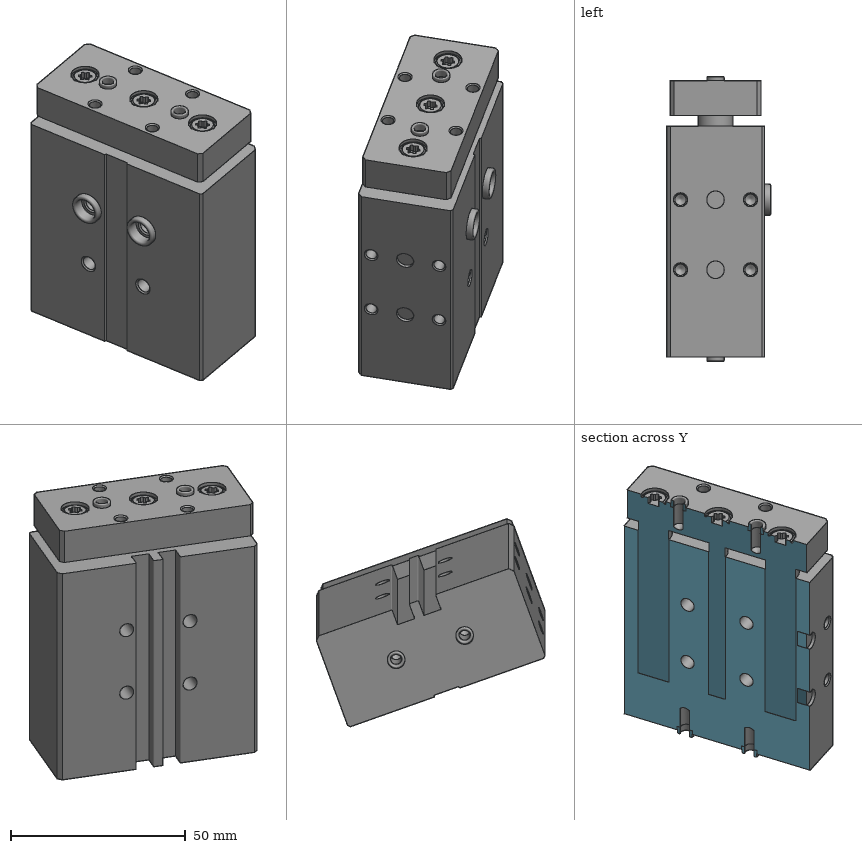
import cadquery as cq
import math

housing_width = 60.0
housing_depth = 28.0
housing_height = 66.0
rear_corner_chamfer = 1.2
front_corner_chamfer = 0.65
front_y = -housing_depth / 2
rear_y = housing_depth / 2
left_x = -housing_width / 2

relief_width = 7.8
relief_floor_width = 7.2
relief_depth = 0.5

slot_width = 5.2
slot_depth = 4.6
slot_offset = 4.0
slot_edge_radius = 0.3

lower_row = 25.0
upper_row = 45.0
row_heights = (lower_row, upper_row)
mounting_hole_x = 9.5
mounting_hole_diameter = 4.13
mounting_hole_mouth = 5.0

tapped_diameter = 3.24
tapped_mouth = 4.0
side_hole_y = 10.0
side_hole_depth = 8.0
drill_point_angle = 118.0

port_diameter = 5.0
plug_recess = 1.0
plug_length = 3.0

plate_width = 58.0
plate_depth = 26.0
plate_thickness = 10.0
plate_corner_chamfer = 1.1
plate_gap = 3.0
plate_bottom_z = housing_height + plate_gap
plate_top_z = plate_bottom_z + plate_thickness
guide_rod_x = 20.5
guide_rod_diameter = 10.0
piston_rod_diameter = 5.5
rod_engagement = 50.0
rods = (
    (-guide_rod_x, guide_rod_diameter),
    (0.0, piston_rod_diameter),
    (guide_rod_x, guide_rod_diameter),
)
plate_hole_x = 10.0
plate_hole_y = 10.0

counterbore_diameter = 8.0
counterbore_depth = 1.0
head_diameter = 7.0
head_height = 0.5
head_chamfer = 0.4
star_core_diameter = 2.9
star_lobe_diameter = 0.9
star_lobe_offset = 1.5
star_depth = 2.0
star_lobes = 6

small_sleeve_diameter = 5.0
small_sleeve_bore = 3.24
small_sleeve_length = 2.4
small_sleeve_protrusion = 1.2
small_seat = small_sleeve_length - small_sleeve_protrusion
top_sleeve_x = 12.5
bottom_sleeve_x = 10.4
sleeve_hole_depth = 8.0
large_sleeve_diameter = 9.0
large_sleeve_bore = 6.6
large_sleeve_length = 3.2
large_sleeve_protrusion = 1.85
large_seat = large_sleeve_length - large_sleeve_protrusion


def cylinder(origin, direction, diameter, length):
    start = cq.Vector(*origin)
    axis = cq.Vector(*direction)
    return cq.Workplane(cq.Solid.makeCylinder(diameter / 2, length, start, axis))


def cone(origin, direction, start_diameter, end_diameter, length):
    start = cq.Vector(*origin)
    axis = cq.Vector(*direction)
    return cq.Workplane(cq.Solid.makeCone(start_diameter / 2, end_diameter / 2, length, start, axis))


def countersink(origin, direction, mouth_diameter, hole_diameter):
    """45 degree chamfer cutter at the mouth of a hole."""
    depth = (mouth_diameter - hole_diameter) / 2
    return cone(origin, direction, mouth_diameter, hole_diameter, depth)


def blind_hole(origin, direction, diameter, depth):
    """Blind drilled hole ending in a conical drill point."""
    end = cq.Vector(*origin) + cq.Vector(*direction) * depth
    point_length = diameter / 2 / math.tan(math.radians(drill_point_angle / 2))
    return cylinder(origin, direction, diameter, depth).union(
        cone(end.toTuple(), direction, diameter, 0, point_length)
    )


def make_sleeve(diameter, bore, length):
    """Sleeve standing on Z = 0 with a fully rounded rim at the top."""
    outer_radius = diameter / 2
    bore_radius = bore / 2
    rim_radius = (outer_radius - bore_radius) / 2
    shoulder = length - rim_radius
    profile = (
        cq.Workplane("XZ")
        .moveTo(bore_radius, 0)
        .lineTo(outer_radius, 0)
        .lineTo(outer_radius, shoulder)
        .threePointArc((outer_radius - rim_radius, length), (bore_radius, shoulder))
        .close()
    )
    return profile.revolve(360, (0, 0), (0, 1))


def make_housing_profile():
    """Housing block with its corner chamfers, front relief and rear sensor slots."""
    body = cq.Workplane("XY").box(housing_width, housing_depth, housing_height, centered=(True, True, False))
    body = body.edges("|Z and >Y").chamfer(rear_corner_chamfer)
    body = body.edges("|Z and <Y").chamfer(front_corner_chamfer)

    relief_outline = [
        (-relief_width / 2, front_y),
        (relief_width / 2, front_y),
        (relief_floor_width / 2, front_y + relief_depth),
        (-relief_floor_width / 2, front_y + relief_depth),
    ]
    body = body.cut(cq.Workplane("XY").polyline(relief_outline).close().extrude(housing_height))

    slot = cq.Workplane("XY").box(slot_width, 2 * slot_depth, housing_height, centered=(True, True, False))
    for side in (-1, 1):
        body = body.cut(slot.translate((side * slot_offset, rear_y, 0)))
    for side in (-1, 1):
        for wall in (-1, 1):
            edge_x = side * slot_offset + wall * slot_width / 2
            slot_edge = cq.selectors.NearestToPointSelector((edge_x, rear_y, housing_height / 2))
            body = body.edges(slot_edge).fillet(slot_edge_radius)
    return body


def cut_mounting_holes(body):
    """Through holes along Y; the upper row is recessed for the large sleeves."""
    for side in (-1, 1):
        x = side * mounting_hole_x
        body = body.cut(cylinder((x, front_y, upper_row), (0, 1, 0), large_sleeve_diameter, large_seat))
        for z, mouth_y in ((lower_row, front_y), (upper_row, front_y + large_seat)):
            mouth = (x, mouth_y, z)
            body = body.cut(cylinder(mouth, (0, 1, 0), mounting_hole_diameter, housing_depth))
            body = body.cut(countersink(mouth, (0, 1, 0), mounting_hole_mouth, mounting_hole_diameter))
    return body


def cut_side_holes(body):
    """Tapped holes and plugged ports in the left side face."""
    for z in row_heights:
        for y in (-side_hole_y, side_hole_y):
            mouth = (left_x, y, z)
            body = body.cut(blind_hole(mouth, (1, 0, 0), tapped_diameter, side_hole_depth))
            body = body.cut(countersink(mouth, (1, 0, 0), tapped_mouth, tapped_diameter))
        body = body.cut(cylinder((left_x, 0, z), (1, 0, 0), port_diameter, plug_recess + plug_length))
    return body


def cut_small_sleeve_hole(body, mouth, direction):
    """Sleeve seat with a narrower blind hole behind it."""
    body = body.cut(cylinder(mouth, direction, small_sleeve_diameter, small_seat))
    return body.cut(blind_hole(mouth, direction, tapped_diameter, sleeve_hole_depth))


def make_housing():
    body = make_housing_profile()
    body = cut_mounting_holes(body)
    body = cut_side_holes(body)
    for x in (-bottom_sleeve_x, bottom_sleeve_x):
        body = cut_small_sleeve_hole(body, (x, 0, 0), (0, 0, 1))
    for x, diameter in rods:
        body = body.cut(cylinder((x, 0, housing_height), (0, 0, -1), diameter, rod_engagement))
    return body


def make_star_socket():
    """Six-lobed drive recess, opening upwards at Z = 0."""
    core = cq.Workplane("XY").circle(star_core_diameter / 2).extrude(-star_depth)
    lobes = cq.Workplane("XY").polarArray(star_lobe_offset, 90, 360, star_lobes)
    return core.union(lobes.circle(star_lobe_diameter / 2).extrude(-star_depth))


def make_moving_unit():
    unit = cq.Workplane("XY").box(plate_width, plate_depth, plate_thickness, centered=(True, True, False))
    unit = unit.edges("|Z").chamfer(plate_corner_chamfer).translate((0, 0, plate_bottom_z))

    for x in (-plate_hole_x, plate_hole_x):
        for y in (-plate_hole_y, plate_hole_y):
            mouth = (x, y, plate_top_z)
            unit = unit.cut(cylinder(mouth, (0, 0, -1), tapped_diameter, plate_thickness))
            unit = unit.cut(countersink(mouth, (0, 0, -1), tapped_mouth, tapped_diameter))

    for x in (-top_sleeve_x, top_sleeve_x):
        unit = cut_small_sleeve_hole(unit, (x, 0, plate_top_z), (0, 0, -1))

    floor_z = plate_top_z - counterbore_depth
    socket = make_star_socket().translate((0, 0, floor_z + head_height))
    for x, diameter in rods:
        rod_length = plate_gap + rod_engagement
        unit = unit.union(cylinder((x, 0, plate_bottom_z), (0, 0, -1), diameter, rod_length))
        unit = unit.cut(cylinder((x, 0, plate_top_z), (0, 0, -1), counterbore_diameter, counterbore_depth))
        head = cylinder((x, 0, floor_z), (0, 0, 1), head_diameter, head_height)
        unit = unit.union(head.edges(">Z").chamfer(head_chamfer))
        unit = unit.cut(socket.translate((x, 0, 0)))
    return unit


housing = make_housing()
moving_unit = make_moving_unit()

port_plugs = []
for z in row_heights:
    port_plugs.append(cylinder((left_x + plug_recess, 0, z), (1, 0, 0), port_diameter, plug_length))

small_sleeve = make_sleeve(small_sleeve_diameter, small_sleeve_bore, small_sleeve_length)
inverted_sleeve = small_sleeve.rotate((0, 0, 0), (1, 0, 0), 180)
top_sleeves = []
bottom_sleeves = []
for side in (-1, 1):
    top_sleeves.append(small_sleeve.translate((side * top_sleeve_x, 0, plate_top_z - small_seat)))
    bottom_sleeves.append(inverted_sleeve.translate((side * bottom_sleeve_x, 0, small_seat)))

large_sleeve = make_sleeve(large_sleeve_diameter, large_sleeve_bore, large_sleeve_length)
large_sleeve = large_sleeve.rotate((0, 0, 0), (1, 0, 0), 90)
front_sleeves = []
for side in (-1, 1):
    front_sleeves.append(large_sleeve.translate((side * mounting_hole_x, front_y + large_seat, upper_row)))

bodies = [housing, moving_unit, *port_plugs, *top_sleeves, *bottom_sleeves, *front_sleeves]
result = cq.Compound.makeCompound([body.solids().val() for body in bodies])